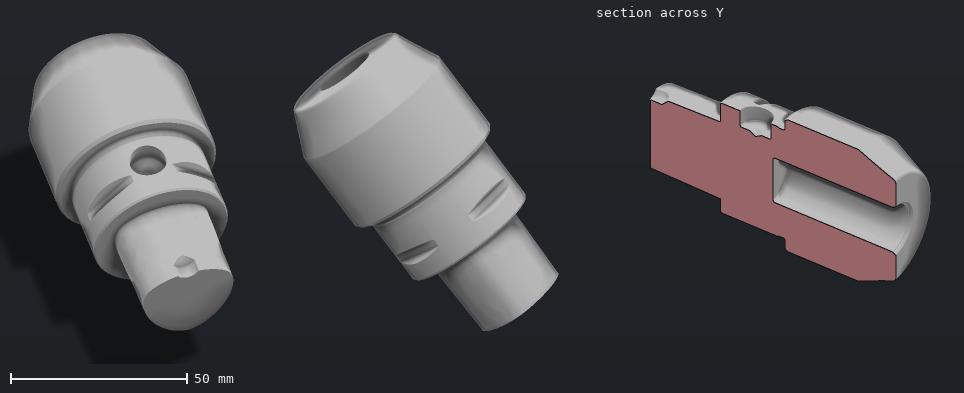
import cadquery as cq
import math

total_length = 84.0
nose_length = 12.9
head_length = 38.05
neck_end = 40.0
flange_end = 60.1

head_radius = 48.0 / 2
neck_radius = 39.4 / 2
flange_radius = 40.0 / 2
nose_edge_radius = 18.1
nose_round = 1.2
nose_blend_radius = 0.8
head_chamfer_length = 1.0
head_chamfer_depth = 0.75
neck_fillet = 0.5
flange_front_chamfer = flange_radius - neck_radius
flange_rear_chamfer_length = 0.6
flange_rear_chamfer_depth = 0.4

bore_mouth_diameter = 17.55
bore_entry_diameter = 16.5
bore_diameter = 16.0
bore_floor_diameter = 14.95
bore_entry_depth = 1.0
bore_depth = 42.0

screw_x = 48.0
well_diameter = 10.5
screw_face_diameter = 10.0
screw_face_height = 14.3
well_floor_chamfer_height = 0.4
dimple_diameter = 4.0
dimple_half_angle = 59.0

groove_x = 52.0
groove_floor_distance = 17.7
groove_floor_width = 2.4
groove_wall_angle = 30.0
groove_floor_fillet = 0.3
groove_count = 4
groove_first_angle = 45.0

shank_mean_radius = 14.0
shank_lobe_height = 1.0
shank_taper_drop = 0.6
shank_points = 48
keyway_diameter = 7.2
keyway_length = 4.0
keyway_axis_height = 14.0
keyway_tip_half_angle = 45.0


def circle_edge(x, radius):
    """Selector for a circular edge around the X axis."""
    tolerance = 0.01
    reach = radius + tolerance
    return cq.selectors.BoxSelector(
        (x - tolerance, -reach, -reach), (x + tolerance, reach, reach), boundingbox=True
    )


def make_body():
    """Head, neck and flange turned about the X axis."""
    profile = [
        (0, 0),
        (0, nose_edge_radius),
        (nose_length, head_radius),
        (head_length - head_chamfer_length, head_radius),
        (head_length, head_radius - head_chamfer_depth),
        (head_length, neck_radius),
        (neck_end, neck_radius),
        (neck_end + flange_front_chamfer, flange_radius),
        (flange_end - flange_rear_chamfer_length, flange_radius),
        (flange_end, flange_radius - flange_rear_chamfer_depth),
        (flange_end, 0),
    ]
    body = cq.Workplane("XY").polyline(profile).close().revolve(360, (0, 0, 0), (1, 0, 0))
    body = body.edges(circle_edge(0, nose_edge_radius)).fillet(nose_round)
    body = body.edges(circle_edge(nose_length, head_radius)).fillet(nose_blend_radius)
    return body.edges(circle_edge(head_length, neck_radius)).fillet(neck_fillet)


def shank_outline(mean_radius):
    """Points (y, z) of a three-lobed curve with one lobe pointing to -Z.

    The distance of its tangent from the axis is mean_radius + lobe_height * cos(3 * angle).
    """
    points = []
    for index in range(shank_points):
        angle = 2 * math.pi * index / shank_points
        distance = mean_radius + shank_lobe_height * math.cos(3 * angle)
        slope = -3 * shank_lobe_height * math.sin(3 * angle)
        outward = distance * math.cos(angle) - slope * math.sin(angle)
        sideways = distance * math.sin(angle) + slope * math.cos(angle)
        points.append((sideways, -outward))
    return points


def make_shank():
    """Tapered polygon shank behind the flange."""
    return (
        cq.Workplane("YZ", origin=(flange_end, 0, 0))
        .spline(shank_outline(shank_mean_radius), periodic=True)
        .close()
        .workplane(offset=total_length - flange_end)
        .spline(shank_outline(shank_mean_radius - shank_taper_drop), periodic=True)
        .close()
        .loft(combine=True)
    )


def make_bore():
    """Blind bore with a chamfered mouth, a small entry step and a chamfered floor edge."""
    mouth_chamfer = (bore_mouth_diameter - bore_entry_diameter) / 2
    floor_chamfer = (bore_diameter - bore_floor_diameter) / 2
    profile = [
        (0, 0),
        (0, bore_mouth_diameter / 2),
        (mouth_chamfer, bore_entry_diameter / 2),
        (bore_entry_depth, bore_entry_diameter / 2),
        (bore_entry_depth, bore_diameter / 2),
        (bore_depth - floor_chamfer, bore_diameter / 2),
        (bore_depth, bore_floor_diameter / 2),
        (bore_depth, 0),
    ]
    return cq.Workplane("XY").polyline(profile).close().revolve(360, (0, 0, 0), (1, 0, 0))


def make_screw_well():
    """Well with a chamfered floor edge and a conical centre dimple in its floor."""
    dimple_radius = dimple_diameter / 2
    dimple_depth = dimple_radius / math.tan(math.radians(dimple_half_angle))
    profile = [
        (0, screw_face_height - dimple_depth),
        (dimple_radius, screw_face_height),
        (screw_face_diameter / 2, screw_face_height),
        (well_diameter / 2, screw_face_height + well_floor_chamfer_height),
        (well_diameter / 2, head_radius),
        (0, head_radius),
    ]
    well = cq.Workplane("XZ").polyline(profile).close().revolve(360, (0, 0, 0), (0, 1, 0))
    return well.translate((screw_x, 0, 0))


def make_groove():
    """Trapezoidal cutter for a straight groove across the +Z side of the flange."""
    half_floor = groove_floor_width / 2
    height = head_radius - groove_floor_distance
    half_mouth = half_floor + height * math.tan(math.radians(groove_wall_angle))
    outline = [
        (groove_x - half_floor, groove_floor_distance),
        (groove_x + half_floor, groove_floor_distance),
        (groove_x + half_mouth, head_radius),
        (groove_x - half_mouth, head_radius),
    ]
    groove = cq.Workplane("XZ").polyline(outline).close().extrude(flange_radius, both=True)
    return groove.edges("|Y and <Z").fillet(groove_floor_fillet)


def make_keyway():
    """Drill-shaped keyway along X in the top of the shank end."""
    radius = keyway_diameter / 2
    start = total_length - keyway_length
    tip = start - radius / math.tan(math.radians(keyway_tip_half_angle))
    profile = [(tip, 0), (start, radius), (total_length, radius), (total_length, 0)]
    drill = cq.Workplane("XY").polyline(profile).close().revolve(360, (0, 0, 0), (1, 0, 0))
    return drill.translate((0, 0, keyway_axis_height))


result = make_body().union(make_shank())
result = result.cut(make_bore()).cut(make_screw_well()).cut(make_keyway())
for index in range(groove_count):
    groove_angle = groove_first_angle + index * 360 / groove_count
    result = result.cut(make_groove().rotate((0, 0, 0), (1, 0, 0), groove_angle))